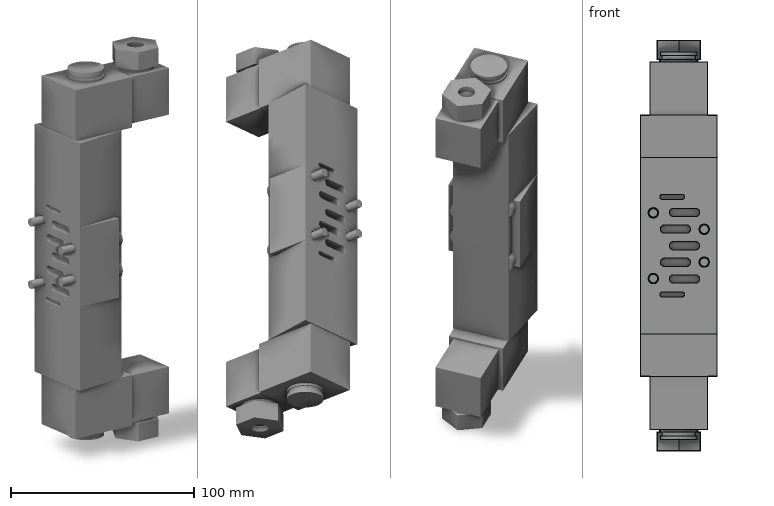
import cadquery as cq

OVERALL_LENGTH = 224.0

VALVE_WIDTH = 42.0
VALVE_BACK_WIDTH = 32.3
VALVE_DEPTH = 31.8
BODY_HALF_LENGTH = 48.2
CAP_LENGTH = 23.0

MIDDLE_LENGTH = 45.5
SHELF_Y = 26.5

SCREW_X = 14.0
OUTER_SCREW_Z = 18.0
INNER_SCREW_Z = 9.0
SHANK_DIAMETER = 4.7
CLEARANCE_DIAMETER = 5.5
SHANK_PROJECTION = 7.8
HEAD_DIAMETER = 9.0
HEAD_HEIGHT = 4.5

END_PORT_Z = 18.1
PORT_PITCH = END_PORT_Z / 2
PORT_LENGTH = 16.4
PORT_HEIGHT = 4.5
PORT_DEPTH = 6.7
OUTER_PORT_X = 3.1
INNER_PORT_X = -1.8
PILOT_X = -3.5
PILOT_Z = 26.7
PILOT_LENGTH = 13.5
PILOT_HEIGHT = 2.7

COIL_WIDTH = 31.5
COIL_FRONT_Y = 1.0
COIL_BACK_Y = 39.0
COIL_HEIGHT = 29.1

CONNECTOR_WIDTH = 26.5
CONNECTOR_BACK_Y = 66.0
CONNECTOR_HEIGHT = 26.9
CONNECTOR_INSET = 1.3

NUT_ACROSS_FLATS = 23.5
NUT_HEIGHT = 10.3
NUT_Y = 53.0
NECK_DIAMETER = 20.8
CABLE_HOLE_DIAMETER = 9.5
CABLE_HOLE_DEPTH = 3.4

KNOB_Y = 19.5
KNOB_DIAMETER = 20.0
KNOB_HEIGHT = 5.4
GROOVE_DIAMETER = 18.4
GROOVE_BOTTOM = 1.3
GROOVE_WIDTH = 2.0

CAP_END_Z = BODY_HALF_LENGTH + CAP_LENGTH
COIL_END_Z = CAP_END_Z + COIL_HEIGHT
CONNECTOR_START_Z = CAP_END_Z + CONNECTOR_INSET
CONNECTOR_END_Z = CONNECTOR_START_Z + CONNECTOR_HEIGHT
NUT_END_Z = OVERALL_LENGTH / 2
NUT_START_Z = NUT_END_Z - NUT_HEIGHT
NUT_ACROSS_CORNERS = NUT_ACROSS_FLATS / 0.75 ** 0.5
SCREW_PLACES = [
    (side * SCREW_X, end * screw_z)
    for side, screw_z in ((-1, OUTER_SCREW_Z), (1, INNER_SCREW_Z))
    for end in (-1, 1)
]


def block(width, front_y, back_y, start_z, end_z):
    """A box centred on x = 0."""
    size = (width, back_y - front_y, end_z - start_z)
    return cq.Workplane().box(*size, centered=(True, False, False)).translate((0, front_y, start_z))


def cylinder_along_y(x, z, diameter, start_y, end_y):
    return (
        cq.Workplane("XZ", origin=(x, start_y, z))
        .circle(diameter / 2)
        .extrude(start_y - end_y)
    )


def cylinder_along_z(y, diameter, start_z, end_z):
    return (
        cq.Workplane("XY", origin=(0, y, start_z))
        .circle(diameter / 2)
        .extrude(end_z - start_z)
    )


def tapered_bar(start_z, end_z):
    """A length of the valve profile, narrowing evenly towards the back."""
    front = VALVE_WIDTH / 2
    back = VALVE_BACK_WIDTH / 2
    outline = [(-front, 0), (front, 0), (back, VALVE_DEPTH), (-back, VALVE_DEPTH)]
    return cq.Workplane("XY", origin=(0, 0, start_z)).polyline(outline).close().extrude(end_z - start_z)


def slot_cutter(x, z, length, height):
    return (
        cq.Workplane("XZ", origin=(x, 0, z))
        .slot2D(length, height)
        .extrude(-PORT_DEPTH)
    )


def make_valve_body():
    body = tapered_bar(-BODY_HALF_LENGTH, BODY_HALF_LENGTH)

    half = MIDDLE_LENGTH / 2
    body = body.union(block(VALVE_WIDTH, 0, SHELF_Y, -half, half))
    for side in (-1, 1):
        relief = block(VALVE_WIDTH, SHELF_Y, VALVE_DEPTH, -half, half)
        body = body.cut(relief.translate((side * (VALVE_WIDTH + VALVE_BACK_WIDTH) / 2, 0, 0)))

    for x, z in SCREW_PLACES:
        body = body.cut(cylinder_along_y(x, z, CLEARANCE_DIAMETER, 0, SHELF_Y))
        body = body.union(cylinder_along_y(x, z, HEAD_DIAMETER, SHELF_Y, SHELF_Y + HEAD_HEIGHT))
        body = body.union(cylinder_along_y(x, z, SHANK_DIAMETER, -SHANK_PROJECTION, SHELF_Y))

    for step in range(-2, 3):
        x = OUTER_PORT_X if step % 2 == 0 else INNER_PORT_X
        body = body.cut(slot_cutter(x, step * PORT_PITCH, PORT_LENGTH, PORT_HEIGHT))
    for z in (-PILOT_Z, PILOT_Z):
        body = body.cut(slot_cutter(PILOT_X, z, PILOT_LENGTH, PILOT_HEIGHT))
    return body


def make_cable_gland():
    nut = (
        cq.Workplane("XY", origin=(0, NUT_Y, NUT_START_Z))
        .transformed(rotate=(0, 0, 90))
        .polygon(6, NUT_ACROSS_CORNERS)
        .extrude(NUT_HEIGHT)
    )
    neck = cylinder_along_z(NUT_Y, NECK_DIAMETER, CONNECTOR_END_Z, NUT_START_Z)
    hole = cylinder_along_z(NUT_Y, CABLE_HOLE_DIAMETER, NUT_END_Z - CABLE_HOLE_DEPTH, NUT_END_Z)
    return nut.union(neck).cut(hole)


def make_knob():
    groove_start = COIL_END_Z + GROOVE_BOTTOM
    groove_end = groove_start + GROOVE_WIDTH
    knob_end = COIL_END_Z + KNOB_HEIGHT
    lower_ring = cylinder_along_z(KNOB_Y, KNOB_DIAMETER, COIL_END_Z, groove_start)
    core = cylinder_along_z(KNOB_Y, GROOVE_DIAMETER, groove_start, groove_end)
    upper_ring = cylinder_along_z(KNOB_Y, KNOB_DIAMETER, groove_end, knob_end)
    return lower_ring.union(core).union(upper_ring)


def make_upper_solenoid():
    """End cap, coil block, connector block, cable gland and knob as one solid."""
    cap = tapered_bar(BODY_HALF_LENGTH, CAP_END_Z)
    coil = block(COIL_WIDTH, COIL_FRONT_Y, COIL_BACK_Y, CAP_END_Z, COIL_END_Z)
    connector = block(CONNECTOR_WIDTH, COIL_BACK_Y, CONNECTOR_BACK_Y, CONNECTOR_START_Z, CONNECTOR_END_Z)
    return cap.union(coil).union(connector).union(make_cable_gland()).union(make_knob())


valve_body = make_valve_body()
solenoids = [make_upper_solenoid()]
solenoids.append(solenoids[0].mirror("XY"))

result = cq.Compound.makeCompound([valve_body.val(), *[solenoid.val() for solenoid in solenoids]])